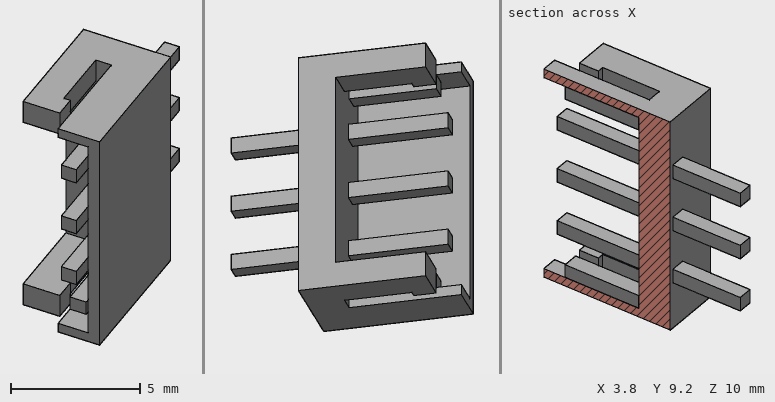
import cadquery as cq

depth = 3.8
length = 10.0
housing_reach = 6.0
base_thickness = 1.5
back_wall = 0.5
end_wall = 0.43
thick_end_wall = 1.03

arm_width = 1.31
hook_tip = 1.6
hook_length = 0.9
arm_recess = 0.9
slot_far_side = 1.99
rail_far_side = 2.7
rail_recess = 1.0

pin_count = 3
pin_pitch = 2.5
pin_size = 0.65
pin_x = 2.2
pin_tail = 3.2
pin_recess = 0.5

floor_y = housing_reach - base_thickness
half_length = length / 2


def box(x_range, y_range, z_range):
    """Make a box from its lower and upper limits on each axis."""
    (x0, x1), (y0, y1), (z0, z1) = x_range, y_range, z_range
    return cq.Workplane("XY").box(x1 - x0, y1 - y0, z1 - z0, centered=False).translate((x0, y0, z0))


def symmetric(half):
    """Range centred on the middle of the connector."""
    return (-half, half)


def make_housing():
    """Block hollowed from the mouth, leaving the base, back wall and end walls."""
    block = box((0, depth), (0, housing_reach), symmetric(half_length))
    front_cavity = box((0, rail_far_side), (0, floor_y), symmetric(half_length - thick_end_wall))
    rear_cavity = box(
        (slot_far_side, depth - back_wall), (0, floor_y), symmetric(half_length - end_wall)
    )
    rails = box(
        (slot_far_side, rail_far_side), (rail_recess, floor_y), symmetric(half_length - end_wall)
    ).cut(front_cavity)
    return block.cut(front_cavity).cut(rear_cavity.cut(rails))


def make_end_slots():
    """Hooked slot through both end walls, with the arms set back from the mouth."""
    hook_inner_y = arm_recess + hook_length
    return (
        cq.Workplane("XY")
        .workplane(offset=-half_length)
        .moveTo(0, 0)
        .lineTo(slot_far_side, 0)
        .lineTo(slot_far_side, floor_y)
        .lineTo(arm_width, floor_y)
        .lineTo(arm_width, hook_inner_y)
        .lineTo(hook_tip, hook_inner_y)
        .lineTo(hook_tip, arm_recess)
        .lineTo(0, arm_recess)
        .close()
        .extrude(length)
    )


def make_pin(z_center):
    """Square pin passing through the base and out of the rear."""
    half_size = pin_size / 2
    return box(
        (pin_x - half_size, pin_x + half_size),
        (pin_recess, housing_reach + pin_tail),
        (z_center - half_size, z_center + half_size),
    )


result = make_housing().cut(make_end_slots())
for index in range(pin_count):
    pin_z = (index - (pin_count - 1) / 2) * pin_pitch
    result = result.union(make_pin(pin_z))